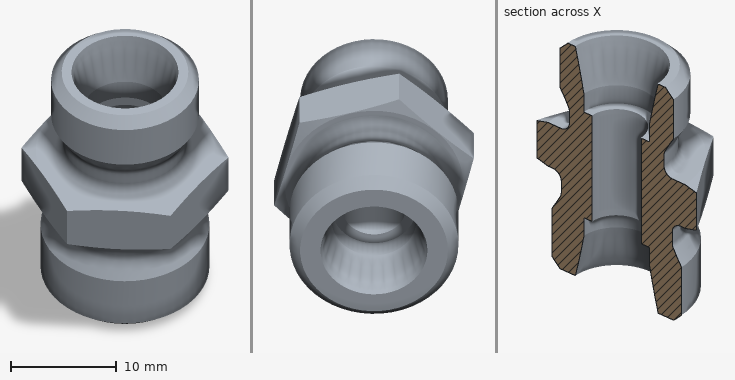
import cadquery as cq
import math

HEX_ACROSS_FLATS = 17.0
HEX_BOTTOM = 11.0
HEX_TOP = 16.0
HEX_FACE_DIAMETER = 16.9
HEX_CHAMFER_ANGLE = 15

TOTAL_HEIGHT = 26
UPPER_DIAMETER = 14.0
UPPER_NECK_DIAMETER = 11.7
UPPER_THREAD_START = 20.55
LOWER_DIAMETER = 16.0
LOWER_NECK_DIAMETER = 13.7
LOWER_THREAD_START = 6.42
END_CHAMFER = 1.0
NECK_FILLET = 1.0
NECK_CONE_ANGLE = 30

BORE_DIAMETER = 6.0
SOCKET_MOUTH_DIAMETER = 10.11
SOCKET_FLOOR_DIAMETER = 8.0
SOCKET_CONE_ANGLE = 12
SOCKET_DEPTH = 7.0


def tan_deg(angle):
    return math.tan(math.radians(angle))


def threaded_end(diameter, neck_diameter, thread_start, length):
    """End standing on the hexagon at Z = 0: flared neck, cone, thread body and chamfered tip."""
    radius = diameter / 2
    neck_radius = neck_diameter / 2
    cone_start = thread_start - (radius - neck_radius) / tan_deg(NECK_CONE_ANGLE)
    blend_length = NECK_FILLET * tan_deg(NECK_CONE_ANGLE / 2)
    blend_rise = blend_length * math.cos(math.radians(NECK_CONE_ANGLE))
    blend_run = blend_length * math.sin(math.radians(NECK_CONE_ANGLE))
    profile = (
        cq.Workplane("XZ")
        .lineTo(neck_radius + NECK_FILLET, 0)
        .radiusArc((neck_radius, NECK_FILLET), NECK_FILLET)
        .lineTo(neck_radius, cone_start - blend_length)
        .tangentArcPoint((neck_radius + blend_run, cone_start + blend_rise), relative=False)
        .lineTo(radius, thread_start)
        .lineTo(radius, length - END_CHAMFER)
        .lineTo(radius - END_CHAMFER, length)
        .lineTo(0, length)
        .close()
    )
    return profile.revolve(360, (0, 0), (0, 1))


def chamfered_hexagon():
    """Hexagon with two flats facing X and its corners turned to a shallow cone on both faces."""
    height = HEX_TOP - HEX_BOTTOM
    corner_diameter = HEX_ACROSS_FLATS / math.cos(math.radians(30))
    face_radius = HEX_FACE_DIAMETER / 2
    corner_radius = corner_diameter / 2
    corner_drop = (corner_radius - face_radius) * tan_deg(HEX_CHAMFER_ANGLE)
    prism = (
        cq.Workplane("XY")
        .polygon(6, corner_diameter)
        .extrude(height)
        .rotate((0, 0, 0), (0, 0, 1), 30)
    )
    turned_envelope = (
        cq.Workplane("XZ")
        .polyline([
            (0, 0),
            (face_radius, 0),
            (corner_radius, corner_drop),
            (corner_radius, height - corner_drop),
            (face_radius, height),
            (0, height),
        ])
        .close()
        .revolve(360, (0, 0), (0, 1))
    )
    return prism.intersect(turned_envelope).translate((0, 0, HEX_BOTTOM))


def tube_socket():
    """Socket cutter rising from Z = 0: conical mouth, then a straight seat with a flat floor."""
    mouth_radius = SOCKET_MOUTH_DIAMETER / 2
    floor_radius = SOCKET_FLOOR_DIAMETER / 2
    cone_depth = (mouth_radius - floor_radius) / tan_deg(SOCKET_CONE_ANGLE)
    return (
        cq.Workplane("XZ")
        .polyline([
            (0, 0),
            (mouth_radius, 0),
            (floor_radius, cone_depth),
            (floor_radius, SOCKET_DEPTH),
            (0, SOCKET_DEPTH),
        ])
        .close()
        .revolve(360, (0, 0), (0, 1))
    )


upper_end = threaded_end(
    UPPER_DIAMETER,
    UPPER_NECK_DIAMETER,
    UPPER_THREAD_START - HEX_TOP,
    TOTAL_HEIGHT - HEX_TOP,
).translate((0, 0, HEX_TOP))

lower_end = (
    threaded_end(
        LOWER_DIAMETER,
        LOWER_NECK_DIAMETER,
        HEX_BOTTOM - LOWER_THREAD_START,
        HEX_BOTTOM,
    )
    .mirror("XY")
    .translate((0, 0, HEX_BOTTOM))
)

lower_socket = tube_socket()
upper_socket = tube_socket().mirror("XY").translate((0, 0, TOTAL_HEIGHT))
bore = cq.Workplane("XY").circle(BORE_DIAMETER / 2).extrude(TOTAL_HEIGHT)

body = chamfered_hexagon().union(upper_end).union(lower_end)
result = body.cut(bore).cut(upper_socket).cut(lower_socket)